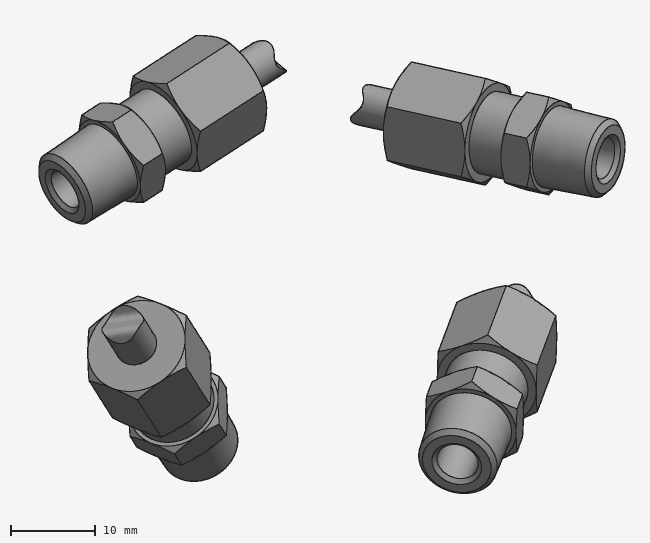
import cadquery as cq
import math

length = 33.55

taper_tip_diameter = 9.53
taper_root_diameter = 9.95
tip_chamfer_depth = 0.6
tip_face_diameter = 8.32

body_hex_start = 7.52
body_hex_end = 11.48
nut_start = 16.05
nut_end = 27.05

body_hex_flats = 11.0
nut_flats = 12.0
hex_chamfer_angle = 30.0

neck_diameter = 10.0
tube_diameter = 5.0

mouth_diameter = 6.0
bore_diameter = 5.0
floor_diameter = 4.0
countersink_depth = (mouth_diameter - bore_diameter) / 2
floor_cone_angle = 30.0
floor_cone_depth = (bore_diameter - floor_diameter) / 2 * math.tan(math.radians(floor_cone_angle))
bore_depth = body_hex_end

wave_top_setback = 0.75
wave_valley_setback = 1.65
wave_bottom_setback = 0.87
wave_turn_height = 1.38


def revolve_about_y(profile):
    """Turn a closed (radius, y) profile about the Y axis."""
    return cq.Workplane("XY").polyline(profile).close().revolve(360, (0, 0, 0), (0, 1, 0))


def cylinder(diameter, start, end):
    radius = diameter / 2
    return revolve_about_y([(0, start), (radius, start), (radius, end), (0, end)])


def chamfered_hex(flats, start, end):
    """Hexagonal prism with corners on the Z axis, turned down conically at both ends."""
    corner_diameter = flats / math.cos(math.radians(30))
    face_radius = flats / 2
    corner_radius = corner_diameter / 2
    chamfer = (corner_radius - face_radius) * math.tan(math.radians(hex_chamfer_angle))
    prism = (
        cq.Workplane("XZ", origin=(0, start, 0))
        .transformed(rotate=(0, 0, 90))
        .polygon(6, corner_diameter)
        .extrude(start - end)
    )
    envelope = revolve_about_y([
        (0, start),
        (face_radius, start),
        (corner_radius, start + chamfer),
        (corner_radius, end - chamfer),
        (face_radius, end),
        (0, end),
    ])
    return prism.intersect(envelope)


def tapered_end():
    return revolve_about_y([
        (0, 0),
        (tip_face_diameter / 2, 0),
        (taper_tip_diameter / 2, tip_chamfer_depth),
        (taper_root_diameter / 2, body_hex_start),
        (0, body_hex_start),
    ])


def wavy_tube():
    """Solid tube stub whose far end is cut by an S-shaped surface running along X."""
    radius = tube_diameter / 2
    wave = [
        (length - wave_top_setback, radius),
        (length - wave_valley_setback, wave_turn_height),
        (length, -wave_turn_height),
        (length - wave_bottom_setback, -radius),
    ]
    keep = (
        cq.Workplane("YZ")
        .moveTo(nut_end, radius)
        .lineTo(*wave[0])
        .spline(wave[1:], tangents=[(-1, -1), (0, -1), (0, -1), (-1, -1)], includeCurrent=True)
        .lineTo(nut_end, -radius)
        .close()
        .extrude(radius, both=True)
    )
    return cylinder(tube_diameter, nut_end, length).intersect(keep)


def bore():
    return revolve_about_y([
        (0, 0),
        (mouth_diameter / 2, 0),
        (bore_diameter / 2, countersink_depth),
        (bore_diameter / 2, bore_depth - floor_cone_depth),
        (floor_diameter / 2, bore_depth),
        (0, bore_depth),
    ])


result = (
    tapered_end()
    .union(chamfered_hex(body_hex_flats, body_hex_start, body_hex_end))
    .union(cylinder(neck_diameter, body_hex_end, nut_start))
    .union(chamfered_hex(nut_flats, nut_start, nut_end))
    .union(wavy_tube())
    .cut(bore())
)